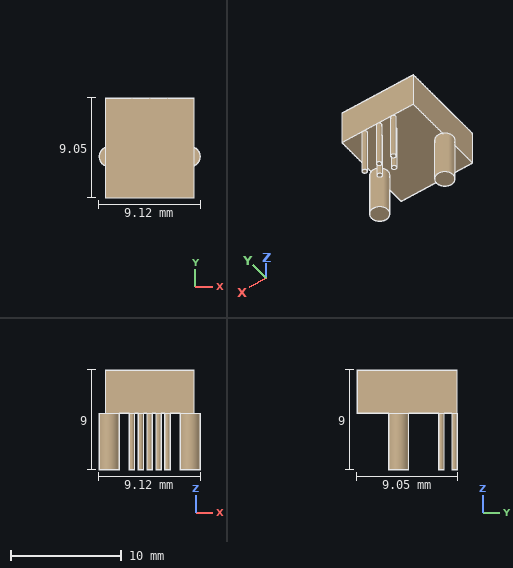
import cadquery as cq

HOUSING_WIDTH = 8.01
HOUSING_DEPTH = 9.03
HOUSING_HEIGHT = 3.9

LEG_LENGTH = 5.1

POST_DIAMETER = 1.82
OVERALL_WIDTH = 9.12
POST_X = (OVERALL_WIDTH - POST_DIAMETER) / 2
POST_FROM_FRONT = 3.75
POST_Y = -HOUSING_DEPTH / 2 + POST_FROM_FRONT

PIN_DIAMETER = 0.5
PIN_OVERHANG = 0.02
PIN_PITCH = 0.8
PIN_COUNT = 5
ROW_SPACING = 1.195
BACK_ROW_Y = HOUSING_DEPTH / 2 + PIN_OVERHANG - PIN_DIAMETER / 2
FRONT_ROW_Y = BACK_ROW_Y - ROW_SPACING


def make_housing():
    """Plain rectangular block with its underside at Z = 0."""
    return cq.Workplane("XY").box(
        HOUSING_WIDTH, HOUSING_DEPTH, HOUSING_HEIGHT, centered=(True, True, False)
    )


def make_leg(x, y, diameter):
    """Round leg running straight down from the housing underside."""
    return cq.Workplane("XY").center(x, y).circle(diameter / 2).extrude(-LEG_LENGTH)


def make_post(side):
    """Mounting post on the left (-1) or right (+1) side."""
    return make_leg(side * POST_X, POST_Y, POST_DIAMETER)


def make_pin(index):
    """Contact pin; even positions are in the back row, odd ones in the front row."""
    x = (index - (PIN_COUNT - 1) / 2) * PIN_PITCH
    y = BACK_ROW_Y if index % 2 == 0 else FRONT_ROW_Y
    return make_leg(x, y, PIN_DIAMETER)


housing = make_housing()
posts = [make_post(side) for side in (-1, 1)]
pins = [make_pin(index) for index in range(PIN_COUNT)]

result = cq.Compound.makeCompound(
    [housing.val()] + [post.val() for post in posts] + [pin.val() for pin in pins]
)